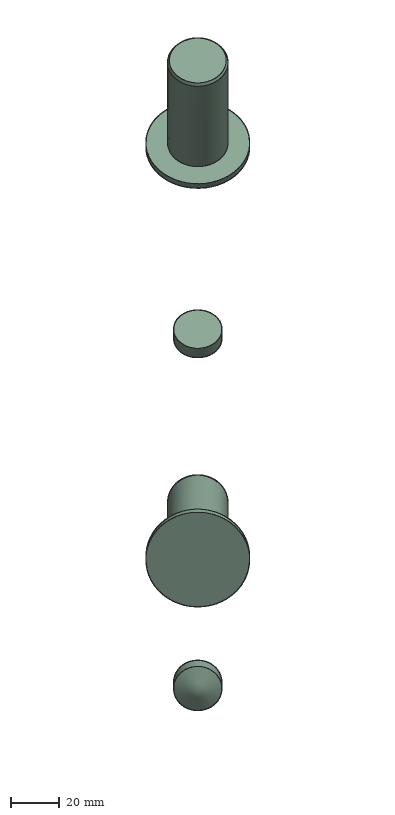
import cadquery as cq

total_height = 192.6

head_diameter = 43.0
head_thickness = 3.0
shank_diameter = 25.0
pin_length = 59.0
chamfer_height = 1.3
chamfer_inset = 0.8

plug_diameter = 20.0
plug_height = 10.0
cone_height = 3.7


def revolve_about_z(profile):
    """Solid of revolution from a closed outline of (radius, height) points."""
    return cq.Workplane("XZ").polyline(profile).close().revolve(360, (0, 0, 0), (0, 1, 0))


def make_pin():
    """Round shank with a chamfered top end, standing on a thin disc head."""
    head_radius = head_diameter / 2
    shank_radius = shank_diameter / 2
    profile = [
        (0, 0),
        (head_radius, 0),
        (head_radius, head_thickness),
        (shank_radius, head_thickness),
        (shank_radius, pin_length - chamfer_height),
        (shank_radius - chamfer_inset, pin_length),
        (0, pin_length),
    ]
    return revolve_about_z(profile).translate((0, 0, total_height - pin_length))


def make_plug():
    """Short cylinder ending in a shallow cone, with the tip at the origin."""
    plug_radius = plug_diameter / 2
    profile = [
        (0, 0),
        (plug_radius, cone_height),
        (plug_radius, plug_height),
        (0, plug_height),
    ]
    return revolve_about_z(profile)


pin = make_pin()
plug = make_plug()

result = cq.Compound.makeCompound([pin.val(), plug.val()])